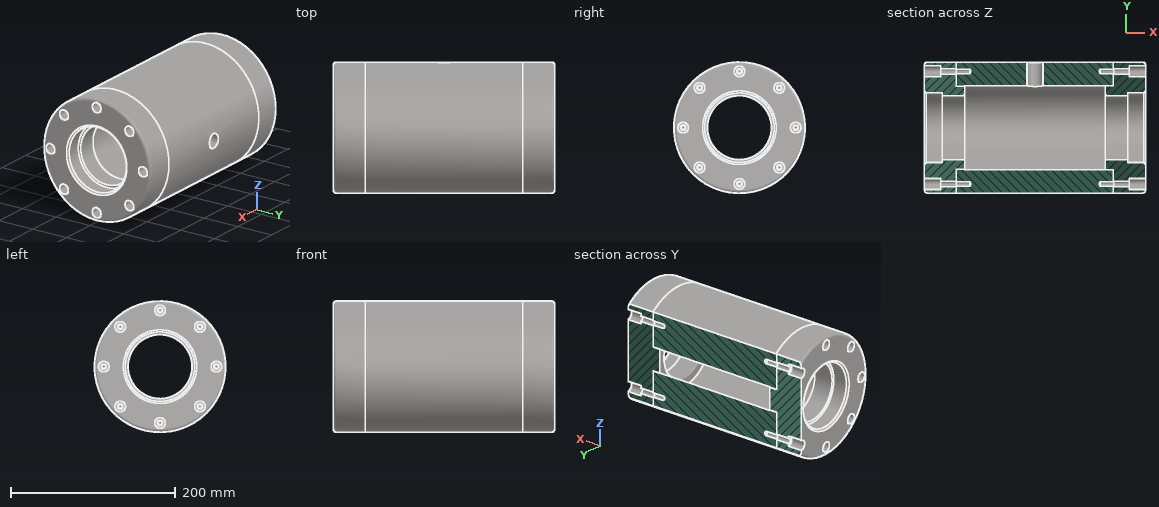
import cadquery as cq
import math

LENGTH = 270.0
OUTER_DIAMETER = 160.0
OUTER_RADIUS = OUTER_DIAMETER / 2
END_FILLET = 4.0

FLANGE_LENGTH = 39.2
SPIGOT_LENGTH = 10.5
CAP_LENGTH = FLANGE_LENGTH + SPIGOT_LENGTH
SPIGOT_RADIUS = 51.0
BORE_RADIUS = 39.0
BORE_FILLET = 2.5
MOUTH_RADIUS = 42.5
MOUTH_DEPTH = 22.0
MOUTH_CHAMFER = 2.5

SCREW_COUNT = 8
SCREW_CIRCLE_RADIUS = 68.5
HEAD_RADIUS = 6.5
HEAD_DEPTH = 20.0
CLEARANCE_RADIUS = 3.2
TAP_RADIUS = 2.5
TAP_DEPTH = 16.2
DRILL_POINT_ANGLE = 118.0

PORT_RADIUS = 9.5


def revolve_about_x(profile):
    """Full turn of an (x, radius) profile around the X axis."""
    return cq.Workplane("XY").polyline(profile).close().revolve(360, (0, 0, 0), (1, 0, 0))


def mirror_to_far_end(body):
    return body.mirror("YZ").translate((LENGTH, 0, 0))


def on_screw_circle(cutter):
    """Copies of a cutter lying on the X axis, spread around the screw circle."""
    first = cutter.translate((0, 0, SCREW_CIRCLE_RADIUS))
    step = 360.0 / SCREW_COUNT
    return [first.rotate((0, 0, 0), (1, 0, 0), i * step) for i in range(SCREW_COUNT)]


def make_cap_blank():
    flange = cq.Workplane("YZ").circle(OUTER_RADIUS).extrude(FLANGE_LENGTH)
    flange = flange.faces("<X").edges().fillet(END_FILLET)
    spigot = cq.Workplane("YZ").circle(SPIGOT_RADIUS).extrude(CAP_LENGTH)
    return flange.union(spigot)


def make_cap_bore():
    return revolve_about_x([
        (0, 0),
        (0, MOUTH_RADIUS + MOUTH_CHAMFER),
        (MOUTH_CHAMFER, MOUTH_RADIUS),
        (MOUTH_DEPTH, MOUTH_RADIUS),
        (MOUTH_DEPTH, BORE_RADIUS),
        (CAP_LENGTH, BORE_RADIUS),
        (CAP_LENGTH, 0),
    ])


def make_screw_hole():
    return revolve_about_x([
        (0, 0),
        (0, HEAD_RADIUS),
        (HEAD_DEPTH, HEAD_RADIUS),
        (HEAD_DEPTH, CLEARANCE_RADIUS),
        (FLANGE_LENGTH, CLEARANCE_RADIUS),
        (FLANGE_LENGTH, 0),
    ])


def make_tapped_hole():
    tap_end = FLANGE_LENGTH + TAP_DEPTH
    point_length = TAP_RADIUS / math.tan(math.radians(DRILL_POINT_ANGLE / 2))
    return revolve_about_x([
        (FLANGE_LENGTH, 0),
        (FLANGE_LENGTH, TAP_RADIUS),
        (tap_end, TAP_RADIUS),
        (tap_end + point_length, 0),
    ])


def make_cap():
    cap = make_cap_blank().cut(make_cap_bore())
    bore_inner_edge = cq.selectors.RadiusNthSelector(0)
    cap = cap.faces(">X").edges(bore_inner_edge).fillet(BORE_FILLET)
    for hole in on_screw_circle(make_screw_hole()):
        cap = cap.cut(hole)
    return cap


def make_tube():
    tube = (
        cq.Workplane("YZ", origin=(FLANGE_LENGTH, 0, 0))
        .circle(OUTER_RADIUS)
        .circle(SPIGOT_RADIUS)
        .extrude(LENGTH - 2 * FLANGE_LENGTH)
    )
    for hole in on_screw_circle(make_tapped_hole()):
        tube = tube.cut(hole).cut(mirror_to_far_end(hole))
    port = cq.Workplane("XZ", origin=(LENGTH / 2, 0, 0)).circle(PORT_RADIUS).extrude(-OUTER_RADIUS)
    return tube.cut(port)


near_cap = make_cap()
tube = make_tube()
far_cap = mirror_to_far_end(near_cap)

result = cq.Compound.makeCompound([near_cap.val(), tube.val(), far_cap.val()])